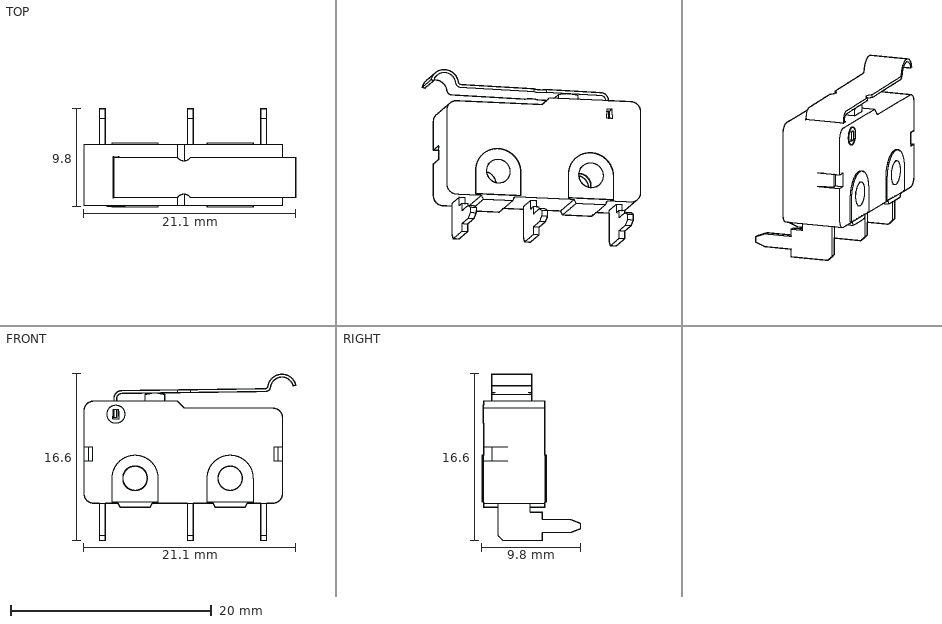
import cadquery as cq
import math


body_length = 19.8
body_depth = 6.1
body_height = 10.2
corner_radius = 1.0
low_top_z = 9.5
ramp_start_x = 9.32
ramp_run = body_height - low_top_z

hole_xs = (5.1, 14.57)
hole_z = 2.5
hole_diameter = 2.4
relief_diameter = 2.5
relief_start_depth = 1.0
pad_width = 4.6
pad_bottom_z = 0.13
pad_height = 0.15
foot_top_width = 3.4
foot_bottom_width = 3.0
foot_height = 0.4

notch_bottom_z = 4.2
notch_height = 1.4
notch_length = 0.88
notch_floor_depth = 0.82
notch_slope_length = 0.48
notch_total_depth = 2.37

terminal_xs = (1.85, 10.61, 17.91)
terminal_thickness = 0.6
terminal_bottom_z = -3.7
blade_front_y = 1.42
blade_neck_y = 4.63
blade_back_y = 5.85
blade_shoulder_z = -0.86
blade_chamfer = 0.5
pin_center_z = -2.26
pin_width = 1.32
pin_tip_width = 0.55
pin_tip_y = 9.65
pin_taper_length = 1.0

lever_front_y = 0.79
lever_width = 4.0
lever_back_y = lever_front_y + lever_width
lever_thickness = 0.3
lever_rise_angle = 0.75
leg_outer_x = 2.98
leg_bottom_z = 8.54
hook_outer_radius = 0.8
hook_center = cq.Vector(leg_outer_x + hook_outer_radius, 10.44)
curl_outer_radius = 1.43
overall_height = 16.57
curl_top_z = terminal_bottom_z + overall_height
curl_end_angle = 13.0
lever_tip_x = 21.12
reverse_bend_inner_radius = 0.25
waist_x = 9.97
waist_radius = 0.75
waist_depth = 0.35

seat_left_x = 2.89
seat_top_width = 0.5
seat_bottom_width = 0.6
seat_back_clearance = 0.06
window_bottom_z = 8.41
window_top_z = 9.34
boss_center_x = 3.19
boss_center_z = 8.88
boss_diameter = 1.8
boss_height = 0.08

plunger_left_x = 6.08
plunger_width = 2.0
plunger_side_inset = 0.05
plunger_shoulder_z = 10.85
plunger_crown_height = 0.13


def prism_along_y(outline, start_y, end_y):
    """Extrude a closed XZ outline from start_y back to end_y."""
    return outline.extrude(start_y - end_y).translate((0, start_y, 0))


def box_between(low_corner, high_corner):
    sizes = [high - low for low, high in zip(low_corner, high_corner, strict=True)]
    return cq.Workplane("XY").box(*sizes, centered=False).translate(low_corner)


def y_cylinder(x, z, diameter, start_y, end_y):
    return prism_along_y(cq.Workplane("XZ").center(x, z).circle(diameter / 2), start_y, end_y)


def make_housing():
    outline = cq.Workplane("XZ").polyline([
        (0, 0),
        (body_length, 0),
        (body_length, low_top_z),
        (ramp_start_x + ramp_run, low_top_z),
        (ramp_start_x, body_height),
        (0, body_height),
    ]).close()
    housing = prism_along_y(outline, 0, body_depth)
    return housing.edges("|Y and (<X or >X)").fillet(corner_radius)


def make_pad(x):
    """Arched pad standing proud of both the front and the back face."""
    half_width = pad_width / 2
    outline = (
        cq.Workplane("XZ")
        .moveTo(x - half_width, pad_bottom_z)
        .lineTo(x + half_width, pad_bottom_z)
        .lineTo(x + half_width, hole_z)
        .threePointArc((x, hole_z + half_width), (x - half_width, hole_z))
        .close()
    )
    return prism_along_y(outline, -pad_height, body_depth + pad_height)


def make_foot(x):
    outline = cq.Workplane("XZ").polyline([
        (x - foot_top_width / 2, 0),
        (x - foot_bottom_width / 2, -foot_height),
        (x + foot_bottom_width / 2, -foot_height),
        (x + foot_top_width / 2, 0),
    ]).close()
    return prism_along_y(outline, 0, body_depth)


def make_end_notch():
    """Notch in the left end: a square pocket in front, then a slope running out to the end face."""
    outline = cq.Workplane("XY").workplane(offset=notch_bottom_z).polyline([
        (0, 0),
        (notch_length, 0),
        (notch_length, notch_floor_depth),
        (notch_slope_length, notch_floor_depth),
        (0, notch_total_depth),
    ]).close()
    return outline.extrude(notch_height)


def make_terminal(x):
    pin_top_z = pin_center_z + pin_width / 2
    pin_bottom_z = pin_center_z - pin_width / 2
    taper_start_y = pin_tip_y - pin_taper_length
    outline = cq.Workplane("YZ").polyline([
        (blade_front_y, 0),
        (blade_front_y, terminal_bottom_z + blade_chamfer),
        (blade_front_y + blade_chamfer, terminal_bottom_z),
        (blade_back_y, terminal_bottom_z),
        (blade_back_y, pin_bottom_z),
        (taper_start_y, pin_bottom_z),
        (pin_tip_y, pin_center_z - pin_tip_width / 2),
        (pin_tip_y, pin_center_z + pin_tip_width / 2),
        (taper_start_y, pin_top_z),
        (blade_back_y, pin_top_z),
        (blade_back_y, blade_shoulder_z),
        (blade_neck_y, blade_shoulder_z),
        (blade_neck_y, 0),
    ]).close()
    plate = outline.extrude(terminal_thickness)
    return plate.translate((x - terminal_thickness / 2, 0, 0))


def polar(center, radius, angle):
    """XZ point at the given angle (degrees, counter-clockwise from +X) around a center."""
    radians = math.radians(angle)
    return (center.x + radius * math.cos(radians), center.y + radius * math.sin(radians))


def make_lever():
    normal_angle = 90 + lever_rise_angle
    along = cq.Vector(*polar(cq.Vector(), 1, lever_rise_angle))
    normal = cq.Vector(*polar(cq.Vector(), 1, normal_angle))

    hook_inner_radius = hook_outer_radius - lever_thickness
    curl_inner_radius = curl_outer_radius - lever_thickness
    bend_outer_radius = reverse_bend_inner_radius + lever_thickness
    tip_offset = curl_outer_radius * math.cos(math.radians(curl_end_angle))
    curl_center = cq.Vector(lever_tip_x - tip_offset, curl_top_z - curl_outer_radius)

    bend_height = hook_outer_radius + reverse_bend_inner_radius
    center_distance = curl_outer_radius + reverse_bend_inner_radius
    to_curl = curl_center - hook_center
    height_difference = to_curl.dot(normal) - bend_height
    bend_run = to_curl.dot(along) - math.sqrt(center_distance ** 2 - height_difference ** 2)
    bend_center = hook_center + normal * bend_height + along * bend_run

    to_bend = bend_center - curl_center
    joint_angle = math.degrees(math.atan2(to_bend.y, to_bend.x)) % 360
    bend_start_angle = normal_angle - 180
    bend_end_angle = joint_angle - 180
    hook_mid_angle = (180 + normal_angle) / 2
    bend_mid_angle = (bend_start_angle + bend_end_angle) / 2
    curl_mid_angle = (joint_angle + curl_end_angle) / 2

    outline = (
        cq.Workplane("XZ")
        .moveTo(leg_outer_x, leg_bottom_z)
        .lineTo(*polar(hook_center, hook_outer_radius, 180))
        .threePointArc(
            polar(hook_center, hook_outer_radius, hook_mid_angle),
            polar(hook_center, hook_outer_radius, normal_angle),
        )
        .lineTo(*polar(bend_center, reverse_bend_inner_radius, bend_start_angle))
        .threePointArc(
            polar(bend_center, reverse_bend_inner_radius, bend_mid_angle),
            polar(bend_center, reverse_bend_inner_radius, bend_end_angle),
        )
        .threePointArc(
            polar(curl_center, curl_outer_radius, curl_mid_angle),
            polar(curl_center, curl_outer_radius, curl_end_angle),
        )
        .lineTo(*polar(curl_center, curl_inner_radius, curl_end_angle))
        .threePointArc(
            polar(curl_center, curl_inner_radius, curl_mid_angle),
            polar(curl_center, curl_inner_radius, joint_angle),
        )
        .threePointArc(
            polar(bend_center, bend_outer_radius, bend_mid_angle),
            polar(bend_center, bend_outer_radius, bend_start_angle),
        )
        .lineTo(*polar(hook_center, hook_inner_radius, normal_angle))
        .threePointArc(
            polar(hook_center, hook_inner_radius, hook_mid_angle),
            polar(hook_center, hook_inner_radius, 180),
        )
        .lineTo(leg_outer_x + lever_thickness, leg_bottom_z)
        .close()
    )
    lever = prism_along_y(outline, lever_front_y, lever_back_y)

    waist_offset = waist_radius - waist_depth
    for waist_y in (lever_front_y - waist_offset, lever_back_y + waist_offset):
        cutter = cq.Workplane("XY").center(waist_x, waist_y).circle(waist_radius)
        lever = lever.cut(cutter.extrude(curl_top_z))
    return lever


def make_seat_slot():
    """Slot in the housing top that takes the lever leg."""
    return box_between(
        (seat_left_x, lever_front_y, window_bottom_z),
        (seat_left_x + seat_bottom_width, lever_back_y + seat_back_clearance, body_height),
    )


def make_seat_window():
    """Tapered window across the whole thickness, showing the end of the lever leg."""
    center_x = seat_left_x + seat_bottom_width / 2
    outline = cq.Workplane("XZ").polyline([
        (center_x - seat_bottom_width / 2, window_bottom_z),
        (center_x + seat_bottom_width / 2, window_bottom_z),
        (center_x + seat_top_width / 2, window_top_z),
        (center_x - seat_top_width / 2, window_top_z),
    ]).close()
    return prism_along_y(outline, -boss_height, body_depth)


def make_plunger():
    """Button between the housing and the lever, with a crowned top that touches the beam."""
    right_x = plunger_left_x + plunger_width
    crown_top = (plunger_left_x + plunger_width / 2, plunger_shoulder_z + plunger_crown_height)
    outline = (
        cq.Workplane("XZ")
        .moveTo(plunger_left_x, low_top_z)
        .lineTo(right_x, low_top_z)
        .lineTo(right_x, plunger_shoulder_z)
        .threePointArc(crown_top, (plunger_left_x, plunger_shoulder_z))
        .close()
    )
    return prism_along_y(outline, lever_front_y + plunger_side_inset, lever_back_y - plunger_side_inset)


switch = make_housing()
for hole_x in hole_xs:
    switch = switch.union(make_pad(hole_x)).union(make_foot(hole_x))
switch = switch.union(y_cylinder(boss_center_x, boss_center_z, boss_diameter, -boss_height, 0))

back_y = body_depth + pad_height
for hole_x in hole_xs:
    switch = switch.cut(y_cylinder(hole_x, hole_z, hole_diameter, -pad_height, back_y))
relief_start_y = relief_start_depth - pad_height
switch = switch.cut(y_cylinder(hole_xs[0], hole_z, relief_diameter, relief_start_y, back_y))

left_notch = make_end_notch()
right_notch = left_notch.mirror("YZ").translate((body_length, 0, 0))
switch = switch.cut(left_notch).cut(right_notch)

switch = switch.cut(make_seat_slot()).cut(make_seat_window())
for terminal_x in terminal_xs:
    switch = switch.union(make_terminal(terminal_x))
result = switch.union(make_plunger()).union(make_lever())